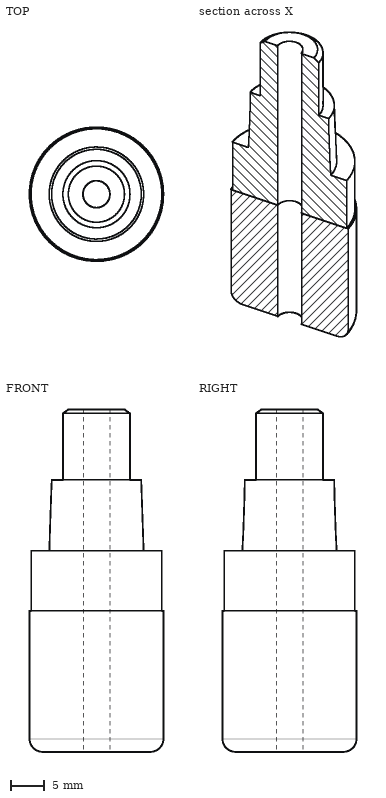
import cadquery as cq

TOTAL_HEIGHT = 51.0
CAP_HEIGHT = 21.0
COLLAR_HEIGHT = 9.0
TAPER_HEIGHT = 10.5

CAP_RADIUS = 10.0
COLLAR_RADIUS = 9.75
TAPER_BASE_RADIUS = 7.05
TAPER_TOP_RADIUS = 6.7
TIP_RADIUS = 5.0
BORE_RADIUS = 2.0

CAP_FILLET = 2.0
TIP_CHAMFER_HEIGHT = 0.6
TIP_CHAMFER_WIDTH = 0.8

COLLAR_TOP = CAP_HEIGHT + COLLAR_HEIGHT
TAPER_TOP = COLLAR_TOP + TAPER_HEIGHT


def make_cap():
    """Lower cylinder with a rounded bottom edge and a through bore."""
    blank = cq.Workplane("XY").circle(CAP_RADIUS).extrude(CAP_HEIGHT)
    rounded = blank.faces("<Z").edges().fillet(CAP_FILLET)
    bore = cq.Workplane("XY").circle(BORE_RADIUS).extrude(CAP_HEIGHT)
    return rounded.cut(bore)


def make_spindle():
    """Collar, tapered section and chamfered tip, revolved around the bore."""
    half_section = (
        cq.Workplane("XZ")
        .moveTo(BORE_RADIUS, CAP_HEIGHT)
        .lineTo(COLLAR_RADIUS, CAP_HEIGHT)
        .lineTo(COLLAR_RADIUS, COLLAR_TOP)
        .lineTo(TAPER_BASE_RADIUS, COLLAR_TOP)
        .lineTo(TAPER_TOP_RADIUS, TAPER_TOP)
        .lineTo(TIP_RADIUS, TAPER_TOP)
        .lineTo(TIP_RADIUS, TOTAL_HEIGHT - TIP_CHAMFER_HEIGHT)
        .lineTo(TIP_RADIUS - TIP_CHAMFER_WIDTH, TOTAL_HEIGHT)
        .lineTo(BORE_RADIUS, TOTAL_HEIGHT)
        .close()
    )
    return half_section.revolve(360, (0, 0, 0), (0, 1, 0))


cap = make_cap()
spindle = make_spindle()

result = cq.Compound.makeCompound([cap.val(), spindle.val()])